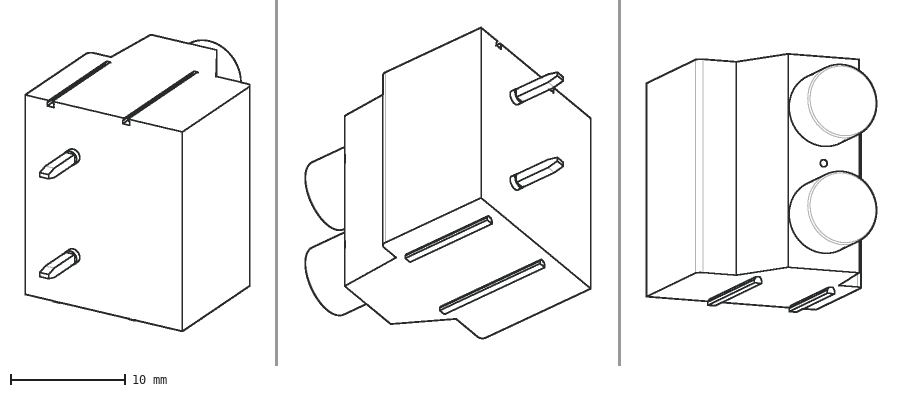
import cadquery as cq

body_width = 16.0
body_height = 19.05
left_shoulder_y = 11.0
right_shoulder_y = 12.0
neck_end_y = 17.0
neck_base_left_x = 2.25
neck_base_right_x = 12.32
neck_end_left_x = 2.75
neck_end_right_x = 9.45
shoulder_radius = 0.5

pole_pitch = 9.55
pole_heights = (-pole_pitch / 2, pole_pitch / 2)

cap_x = 6.1
cap_diameter = 6.52
cap_length = 4.48
cap_edge_radius = 0.15

dome_radius = 0.32

pin_x = 4.9
pin_width = 0.9
pin_length = 5.0
pin_tip_length = 1.0
pin_tip_thickness = 0.4
collar_diameter = 1.32
collar_length = 0.53

dovetails = ((2.6, 10.0), (10.28, right_shoulder_y))
dovetail_depth = 0.55
dovetail_flare_depth = 0.26
dovetail_neck_width = 0.37
dovetail_wide_width = 0.7
rib_front_y = 1.0


def make_housing():
    outline = [
        (0, 0),
        (body_width, 0),
        (body_width, right_shoulder_y),
        (neck_base_right_x, right_shoulder_y),
        (neck_end_right_x, neck_end_y),
        (neck_end_left_x, neck_end_y),
        (neck_base_left_x, left_shoulder_y),
        (0, left_shoulder_y),
    ]
    block = cq.Workplane("XY").polyline(outline).close().extrude(body_height / 2, both=True)
    for corner in ((0, left_shoulder_y, 0), (body_width, right_shoulder_y, 0)):
        block = block.edges(cq.selectors.NearestToPointSelector(corner)).fillet(shoulder_radius)
    return block


def make_cap(z):
    return (
        cq.Workplane("XZ", origin=(cap_x, neck_end_y, z))
        .circle(cap_diameter / 2)
        .extrude(-cap_length)
        .faces(">Y")
        .edges()
        .fillet(cap_edge_radius)
    )


def make_pin(z):
    """Square pin pointing toward -Y, its tip tapered in Z, with a round collar at its root."""
    collar = cq.Workplane("XZ", origin=(pin_x, 0, z)).circle(collar_diameter / 2).extrude(collar_length)
    taper_y = pin_tip_length - pin_length
    side_profile = [
        (0, -pin_width / 2),
        (taper_y, -pin_width / 2),
        (-pin_length, -pin_tip_thickness / 2),
        (-pin_length, pin_tip_thickness / 2),
        (taper_y, pin_width / 2),
        (0, pin_width / 2),
    ]
    blade = (
        cq.Workplane("YZ", origin=(pin_x, 0, z))
        .polyline(side_profile)
        .close()
        .extrude(pin_width / 2, both=True)
    )
    return collar.union(blade)


def make_dovetail(x, front_y, back_y, mouth_z):
    """Bar along Y, narrow at mouth_z and widening downward."""
    half_neck = dovetail_neck_width / 2
    half_wide = dovetail_wide_width / 2
    section = [
        (-half_neck, 0),
        (-half_wide, -dovetail_flare_depth),
        (-half_wide, -dovetail_depth),
        (half_wide, -dovetail_depth),
        (half_wide, -dovetail_flare_depth),
        (half_neck, 0),
    ]
    return (
        cq.Workplane("XZ", origin=(x, front_y, mouth_z))
        .polyline(section)
        .close()
        .extrude(front_y - back_y)
    )


result = make_housing()

for rail_x, rail_back_y in dovetails:
    result = result.cut(make_dovetail(rail_x, 0, rail_back_y, body_height / 2))
    result = result.union(make_dovetail(rail_x, rib_front_y, rail_back_y, -body_height / 2))

for pole_z in pole_heights:
    result = result.union(make_cap(pole_z)).union(make_pin(pole_z))

dome = cq.Workplane("XY", origin=(cap_x, neck_end_y, 0)).sphere(dome_radius)
result = result.union(dome)